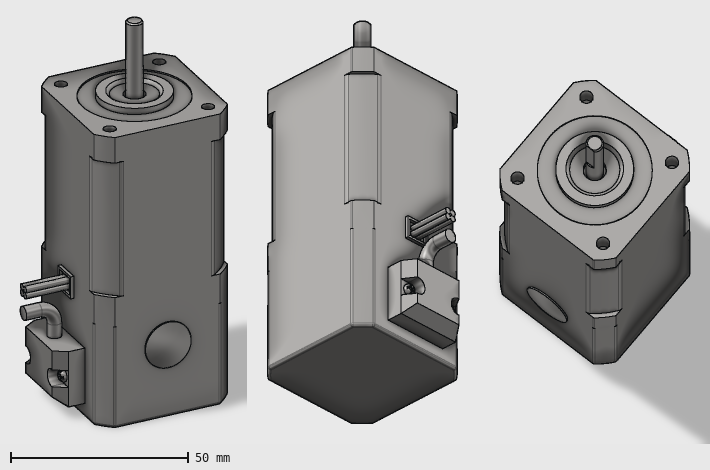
import cadquery as cq
import math

TOTAL_HEIGHT = 116.1
BODY_WIDTH = 42.2
HALF_WIDTH = BODY_WIDTH / 2
CAP_TOP = 32.3
CONNECTOR_BAND_TOP = 41.6
STATOR_TOP = 84.2
FLANGE_TOP = 92.3
BOTTOM_FILLET = 0.9

HOUSING_CORNER_RADIUS = 26.8
STATOR_CORNER_RADIUS = 25.5
CAP_BLEND = 1.0
HOUSING_BLEND = 0.6
STATOR_BLEND = 1.9

MOUNT_HOLE_DIAMETER = 3.7
MOUNT_HOLE_SPACING = 31.0
FACE_RECESS_RADIUS = 16.3
FACE_RECESS_DEPTH = 0.5
PILOT_RADIUS = 11.0
PILOT_TOP = 93.8
DISH_TOP_RADIUS = 8.1
DISH_FLOOR_RADIUS = 7.1
DISH_DEPTH = 1.0
SHAFT_BORE_RADIUS = 3.3
SHAFT_BORE_DEPTH = 2.3

SHAFT_RADIUS = 2.5
SHAFT_CHAMFER = 0.5
SHAFT_FLAT_DEPTH = 0.5
SHAFT_FLAT_LENGTH = 14.4

BADGE_RADIUS = 7.2
BADGE_RIM_HEIGHT = 0.5
BADGE_HEIGHT = 1.7
BADGE_Z = 23.0

GLAND_WIDTH = 21.8
GLAND_BOTTOM = 4.4
GLAND_TOP = 22.0
GLAND_DEPTH = 9.0
GLAND_SIDE_BEVEL = 2.5
GLAND_BOTTOM_BEVEL = 2.9
GLAND_BEVEL_DEPTH = 4.0
SCREW_X = 8.0
SCREW_Z = 13.2
SCREW_POCKET_RADIUS = 2.7
SCREW_HEAD_RADIUS = 1.9
SCREW_TOP_RADIUS = 1.0
SCREW_HEAD_HEIGHT = 1.5
SCREW_CROSS_LENGTH = 2.8
SCREW_CROSS_WIDTH = 0.7
SCREW_CROSS_DEPTH = 0.7

CABLE_REACH = 13.9
CABLE_RADIUS = 2.1
CABLE_OFFSET = 4.2
CABLE_Z = 31.1
CABLE_BEND_RADIUS = 4.9

CONNECTOR_WIDTH = 8.0
CONNECTOR_HEIGHT = 7.0
CONNECTOR_WALL = 0.8
CONNECTOR_DEPTH = 1.0
WIRE_DIAMETER = 2.0
WIRE_PITCH = 1.9

FRONT_Y = -HALF_WIDTH
CABLE_END_Y = FRONT_Y - CABLE_REACH
GLAND_FRONT_Y = FRONT_Y - GLAND_DEPTH
POCKET_FLOOR_Y = GLAND_FRONT_Y + GLAND_BEVEL_DEPTH


def housing_section(bottom, top, corner_radius, blend):
    """Square section whose corners are rounded about the motor axis."""
    height = top - bottom
    square = cq.Workplane("XY").workplane(offset=bottom).rect(BODY_WIDTH, BODY_WIDTH).extrude(height)
    round_bar = cq.Workplane("XY").workplane(offset=bottom).circle(corner_radius).extrude(height)
    return square.intersect(round_bar).edges("|Z").fillet(blend)


def front_block(width, depth, bottom, top, start_y):
    """Block centred on X that runs from start_y towards -Y."""
    return cq.Workplane("XY").box(width, depth, top - bottom, centered=(True, False, False)).translate(
        (0, start_y - depth, bottom)
    )


def front_rod(x, z, radius, start_y, end_y):
    """Round rod parallel to Y that runs from start_y towards -Y."""
    return cq.Workplane("XZ", origin=(x, start_y, z)).circle(radius).extrude(start_y - end_y)


def housing():
    cap = housing_section(0, CAP_TOP, HOUSING_CORNER_RADIUS, CAP_BLEND)
    cap = cap.faces("<Z").edges().fillet(BOTTOM_FILLET)
    band = housing_section(CAP_TOP, CONNECTOR_BAND_TOP, HOUSING_CORNER_RADIUS, HOUSING_BLEND)
    stator = housing_section(CONNECTOR_BAND_TOP, STATOR_TOP, STATOR_CORNER_RADIUS, STATOR_BLEND)
    flange = housing_section(STATOR_TOP, FLANGE_TOP, HOUSING_CORNER_RADIUS, HOUSING_BLEND)
    flange = (
        flange.faces(">Z").workplane(origin=(0, 0, FLANGE_TOP))
        .rect(MOUNT_HOLE_SPACING, MOUNT_HOLE_SPACING, forConstruction=True).vertices()
        .hole(MOUNT_HOLE_DIAMETER)
    )
    return cap.union(band).union(stator).union(flange)


def turned_face():
    """Shallow ring of material to be removed around the pilot."""
    return (
        cq.Workplane("XY").workplane(offset=FLANGE_TOP - FACE_RECESS_DEPTH)
        .circle(FACE_RECESS_RADIUS).circle(PILOT_RADIUS).extrude(FACE_RECESS_DEPTH)
    )


def pilot():
    base = cq.Workplane("XY").workplane(offset=FLANGE_TOP)
    return base.circle(PILOT_RADIUS).extrude(PILOT_TOP - FLANGE_TOP)


def pilot_hollow():
    """Conical dish in the pilot with the shaft bore below it."""
    dish_floor = PILOT_TOP - DISH_DEPTH
    bore_floor = dish_floor - SHAFT_BORE_DEPTH
    profile = [
        (0, bore_floor),
        (SHAFT_BORE_RADIUS, bore_floor),
        (SHAFT_BORE_RADIUS, dish_floor),
        (DISH_FLOOR_RADIUS, dish_floor),
        (DISH_TOP_RADIUS, PILOT_TOP),
        (0, PILOT_TOP),
    ]
    return cq.Workplane("XZ").polyline(profile).close().revolve(360, (0, 0, 0), (0, 1, 0))


def shaft():
    base = cq.Workplane("XY").workplane(offset=STATOR_TOP)
    rod = base.circle(SHAFT_RADIUS).extrude(TOTAL_HEIGHT - STATOR_TOP)
    rod = rod.faces(">Z").chamfer(SHAFT_CHAMFER)
    flat = cq.Workplane("XY").box(
        2 * SHAFT_RADIUS, SHAFT_RADIUS, SHAFT_FLAT_LENGTH, centered=(True, False, False)
    ).translate((0, SHAFT_RADIUS - SHAFT_FLAT_DEPTH, TOTAL_HEIGHT - SHAFT_FLAT_LENGTH))
    return rod.cut(flat)


def badge():
    """Domed disc standing on the +Y side."""
    dome_rise = BADGE_HEIGHT - BADGE_RIM_HEIGHT
    dome_radius = (BADGE_RADIUS**2 + dome_rise**2) / (2 * dome_rise)
    mid_x = BADGE_RADIUS / 2
    mid_y = BADGE_HEIGHT - dome_radius + math.sqrt(dome_radius**2 - mid_x**2)
    disc = (
        cq.Workplane("XY").lineTo(BADGE_RADIUS, 0).lineTo(BADGE_RADIUS, BADGE_RIM_HEIGHT)
        .threePointArc((mid_x, mid_y), (0, BADGE_HEIGHT)).close()
        .revolve(360, (0, 0, 0), (0, 1, 0))
    )
    return disc.translate((0, HALF_WIDTH, BADGE_Z))


def gland_box():
    """Box with its front bevelled along both sides and along the bottom."""
    half = GLAND_WIDTH / 2
    front_half = half - GLAND_SIDE_BEVEL
    plan = [
        (-half, FRONT_Y),
        (-half, POCKET_FLOOR_Y),
        (-front_half, GLAND_FRONT_Y),
        (front_half, GLAND_FRONT_Y),
        (half, POCKET_FLOOR_Y),
        (half, FRONT_Y),
    ]
    side_outline = [
        (FRONT_Y, GLAND_TOP),
        (GLAND_FRONT_Y, GLAND_TOP),
        (GLAND_FRONT_Y, GLAND_BOTTOM + GLAND_BOTTOM_BEVEL),
        (POCKET_FLOOR_Y, GLAND_BOTTOM),
        (FRONT_Y, GLAND_BOTTOM),
    ]
    column = cq.Workplane("XY").polyline(plan).close().extrude(GLAND_TOP)
    cross_bar = cq.Workplane("YZ").polyline(side_outline).close().extrude(half, both=True)
    return column.intersect(cross_bar)


def screw_pocket(side):
    """Round-ended pocket that opens through the side of the gland box."""
    round_end = front_rod(side * SCREW_X, SCREW_Z, SCREW_POCKET_RADIUS, POCKET_FLOOR_Y, GLAND_FRONT_Y)
    run_out = cq.Workplane("XY").box(
        GLAND_WIDTH / 2 - SCREW_X, GLAND_BEVEL_DEPTH, 2 * SCREW_POCKET_RADIUS
    ).translate((
        side * (GLAND_WIDTH / 2 + SCREW_X) / 2,
        (POCKET_FLOOR_Y + GLAND_FRONT_Y) / 2,
        SCREW_Z,
    ))
    return round_end.union(run_out)


def screw_head(side):
    """Rounded cross-head screw on the pocket floor."""
    mid_x = SCREW_TOP_RADIUS + (SCREW_HEAD_RADIUS - SCREW_TOP_RADIUS) * math.sin(math.pi / 4)
    mid_y = SCREW_HEAD_HEIGHT * math.sin(math.pi / 4)
    head = (
        cq.Workplane("XY").lineTo(SCREW_HEAD_RADIUS, 0)
        .threePointArc((mid_x, mid_y), (SCREW_TOP_RADIUS, SCREW_HEAD_HEIGHT))
        .lineTo(0, SCREW_HEAD_HEIGHT).close()
        .revolve(360, (0, 0, 0), (0, 1, 0))
        .rotate((0, 0, 0), (0, 0, 1), 180)
        .translate((side * SCREW_X, POCKET_FLOOR_Y, SCREW_Z))
    )
    cross_floor = (side * SCREW_X, POCKET_FLOOR_Y - SCREW_HEAD_HEIGHT + SCREW_CROSS_DEPTH, SCREW_Z)
    cross_plane = cq.Workplane("XZ", origin=cross_floor)
    for length, width in [
        (SCREW_CROSS_LENGTH, SCREW_CROSS_WIDTH),
        (SCREW_CROSS_WIDTH, SCREW_CROSS_LENGTH),
    ]:
        head = head.cut(cross_plane.rect(length, width).extrude(SCREW_CROSS_DEPTH))
    return head


def cable():
    """Cable that rises from the gland box and bends towards -Y."""
    cable_y = FRONT_Y - CABLE_OFFSET
    bend_y = cable_y - CABLE_BEND_RADIUS
    bend_z = CABLE_Z - CABLE_BEND_RADIUS
    diagonal = CABLE_BEND_RADIUS * math.sin(math.pi / 4)
    path = (
        cq.Workplane("YZ").moveTo(cable_y, GLAND_TOP).lineTo(cable_y, bend_z)
        .threePointArc((bend_y + diagonal, bend_z + diagonal), (bend_y, CABLE_Z))
        .lineTo(CABLE_END_Y, CABLE_Z)
    )
    start = cq.Workplane("XY", origin=(0, cable_y, GLAND_TOP))
    return start.circle(CABLE_RADIUS).sweep(path)


def lead_connector():
    """Open-fronted connector shell with a two-by-two bundle of wires."""
    bottom = CONNECTOR_BAND_TOP - CONNECTOR_HEIGHT
    shell = front_block(CONNECTOR_WIDTH, CONNECTOR_DEPTH, bottom, CONNECTOR_BAND_TOP, FRONT_Y)
    opening = front_block(
        CONNECTOR_WIDTH - 2 * CONNECTOR_WALL,
        CONNECTOR_DEPTH,
        bottom + CONNECTOR_WALL,
        CONNECTOR_BAND_TOP - CONNECTOR_WALL,
        FRONT_Y,
    )
    connector = shell.cut(opening)
    middle_z = CONNECTOR_BAND_TOP - CONNECTOR_HEIGHT / 2
    for x_side in (-1, 1):
        for z_side in (-1, 1):
            wire_x = x_side * WIRE_PITCH / 2
            wire_z = middle_z + z_side * WIRE_PITCH / 2
            connector = connector.union(front_rod(wire_x, wire_z, WIRE_DIAMETER / 2, FRONT_Y, CABLE_END_Y))
    return connector


result = housing().cut(turned_face()).union(pilot()).cut(pilot_hollow()).union(shaft())
result = result.union(badge()).union(badge().rotate((0, 0, 0), (0, 0, 1), -90))

gland = gland_box()
for side in (-1, 1):
    gland = gland.cut(screw_pocket(side)).union(screw_head(side))
result = result.union(gland).union(cable()).union(lead_connector())